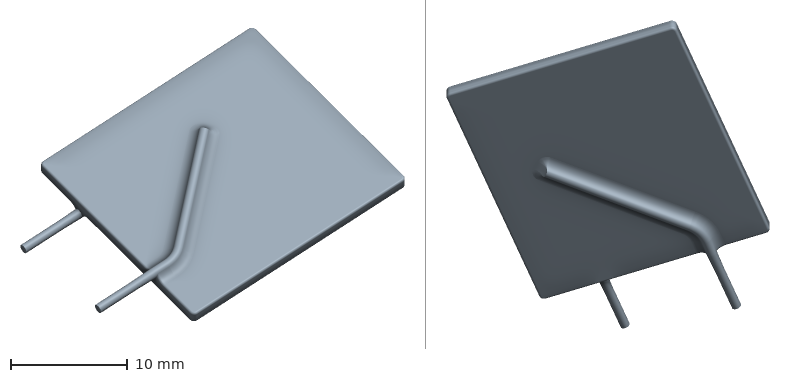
import math

import cadquery as cq

plate_width = 21.0
plate_length = 23.5
plate_thickness = 1.2
plate_corner_radius = 0.45
plate_rim_radius = 0.2

overall_length = 29.6
overall_height = 2.93
lead_offset_x = 5.1
lead_offset_z = 1.0
lead_tip_radius = 0.4
lead_tip_length = 4.05
lead_insertion = 1.45
lead_root_radius = overall_height / 2 - lead_offset_z

crest_radius = lead_root_radius
flare_radius = 0.98
bend_radius = 2.8
upper_bend_angle = 41.2
upper_slant_length = 12.9
lower_bend_angle = 44.4
lower_slant_length = 13.6

plate_top = plate_thickness / 2
tip_y = -overall_length / 2
plate_front = tip_y + overall_length - plate_length
plate_centre_y = plate_front + plate_length / 2
lead_end_y = plate_front + lead_insertion
crest_top = lead_offset_z + crest_radius

flare_centre_z = plate_top + flare_radius
flare_rise = flare_centre_z - lead_offset_z
ridge_half_width = math.sqrt((crest_radius + flare_radius) ** 2 - flare_rise**2)
crest_share = crest_radius / (crest_radius + flare_radius)
crest_half_width = ridge_half_width * crest_share
crest_edge_z = lead_offset_z + flare_rise * crest_share
flare_width = ridge_half_width - crest_half_width

flare_mid_angle = math.atan2(flare_centre_z - crest_edge_z, flare_width) / 2 + math.pi / 4
flare_mid_inset = flare_radius * math.cos(flare_mid_angle)
flare_mid_z = flare_centre_z - flare_radius * math.sin(flare_mid_angle)


def make_plate():
    """Flat plate with rounded vertical corners."""
    return (
        cq.Workplane("XY")
        .box(plate_width, plate_length, plate_thickness)
        .edges("|Z")
        .fillet(plate_corner_radius)
        .translate((0, plate_centre_y, 0))
    )


def ridge_path(bend_angle, slant_length):
    """Wire route at the plate mid-plane: straight in, a bend towards -X, then a straight slant."""
    turn = math.radians(bend_angle)
    bend_centre_x = lead_offset_x - bend_radius

    def bend_point(angle):
        return (bend_centre_x + bend_radius * math.cos(angle), lead_end_y + bend_radius * math.sin(angle))

    bend_end = bend_point(turn)
    slant_end = (bend_end[0] - slant_length * math.sin(turn), bend_end[1] + slant_length * math.cos(turn))
    path = (
        cq.Workplane("XY")
        .moveTo(lead_offset_x, plate_front)
        .lineTo(lead_offset_x, lead_end_y)
        .threePointArc(bend_point(turn / 2), bend_end)
        .lineTo(*slant_end)
    )
    return path, slant_end


def make_ridge_run(path):
    """Flared ridge section swept along its path, down to the plate mid-plane."""
    flare_mid_x = ridge_half_width - flare_mid_inset
    return (
        cq.Workplane("XZ", origin=(lead_offset_x, plate_front, 0))
        .moveTo(-ridge_half_width, 0)
        .lineTo(-ridge_half_width, plate_top)
        .threePointArc((-flare_mid_x, flare_mid_z), (-crest_half_width, crest_edge_z))
        .threePointArc((0, crest_top), (crest_half_width, crest_edge_z))
        .threePointArc((flare_mid_x, flare_mid_z), (ridge_half_width, plate_top))
        .lineTo(ridge_half_width, 0)
        .close()
        .sweep(path)
    )


def make_ridge_cap():
    """End of a ridge that runs along +Y from the origin: crest core and two flared round corners."""
    core = (
        cq.Workplane("XZ")
        .moveTo(-crest_half_width, 0)
        .lineTo(-crest_half_width, crest_edge_z)
        .threePointArc((0, crest_top), (crest_half_width, crest_edge_z))
        .lineTo(crest_half_width, 0)
        .close()
        .extrude(-flare_width)
    )
    corner = (
        cq.Workplane("XZ")
        .lineTo(flare_width, 0)
        .lineTo(flare_width, plate_top)
        .threePointArc((flare_width - flare_mid_inset, flare_mid_z), (0, crest_edge_z))
        .close()
        .revolve(90, (0, 0, 0), (0, 1, 0))
        .translate((crest_half_width, 0, 0))
    )
    return core.union(corner).union(corner.mirror("YZ"))


def make_end_flare_cutter():
    """Cylinder across the ridge that hollows the end of the crest into the same flare."""
    return (
        cq.Workplane("YZ")
        .center(flare_width, flare_centre_z)
        .circle(flare_radius)
        .extrude(ridge_half_width, both=True)
    )


def make_ridge(bend_angle, slant_length):
    """Complete ridge on the upper face, starting at the +X lead."""
    path, slant_end = ridge_path(bend_angle, slant_length)

    def move_to_end(shape):
        return shape.rotate((0, 0, 0), (0, 0, 1), bend_angle).translate((slant_end[0], slant_end[1], 0))

    ridge = make_ridge_run(path).union(move_to_end(make_ridge_cap()))
    return ridge.cut(move_to_end(make_end_flare_cutter()))


def make_lead():
    """Round lead at +X above the plate: buried root, tapered collar and plain tip."""
    tip_inner_y = tip_y + lead_tip_length
    return (
        cq.Workplane("XY")
        .moveTo(0, tip_y)
        .lineTo(lead_tip_radius, tip_y)
        .lineTo(lead_tip_radius, tip_inner_y)
        .lineTo(lead_root_radius, plate_front)
        .lineTo(lead_root_radius, lead_end_y)
        .lineTo(0, lead_end_y)
        .close()
        .revolve(360, (0, 0, 0), (0, 1, 0))
        .translate((lead_offset_x, 0, lead_offset_z))
    )


def flip_to_underside(shape):
    """Half turn about the Y axis, from the upper face at +X to the lower face at -X."""
    return shape.rotate((0, 0, 0), (0, 1, 0), 180)


def make_body(leads):
    """Plate with both ridges, rounded rims and a channel for each lead."""
    upper_ridge = make_ridge(upper_bend_angle, upper_slant_length)
    lower_ridge = flip_to_underside(make_ridge(lower_bend_angle, lower_slant_length))
    body = make_plate().union(upper_ridge).union(lower_ridge)
    body = body.faces("<Y").edges("not |Z").fillet(plate_rim_radius)
    for lead in leads:
        body = body.cut(lead)
    return body


upper_lead = make_lead()
leads = [upper_lead, flip_to_underside(upper_lead)]
body = make_body(leads)

result = cq.Compound.makeCompound([body.val(), *[lead.val() for lead in leads]])